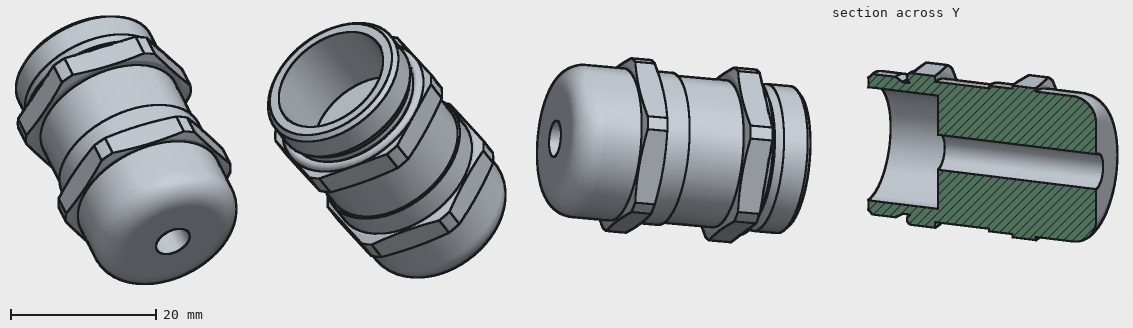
import cadquery as cq
import math

overall_length = 34.0
thread_end = 4.1
neck_start = 5.2
body_hex_start = 6.5
hex_length = 3.5
cap_start = 18.0
cap_hex_start = 21.5
bore_depth = 10.4

thread_diameter = 20.4
neck_diameter = 19.1
cap_diameter = 21.12
seal_thickness = 1.5
bore_diameter = 16.32
cable_hole_diameter = 5.0
entry_chamfer = 0.65
cap_edge_radius = 3.5

across_flats = 22.0
corner_diameter = 24.4
bevel_angle = 15.0
hexagon_turn = 30.0
bevel_length = (corner_diameter - across_flats) / 2 * math.tan(math.radians(bevel_angle))


def cylinder(start, end, diameter):
    """Solid cylinder on the X axis between two stations."""
    return cq.Workplane("YZ", origin=(start, 0, 0)).circle(diameter / 2).extrude(end - start)


def make_shank():
    """Threaded end, tapered neck and plain body, turned as one profile."""
    thread_radius = thread_diameter / 2
    neck_radius = neck_diameter / 2
    profile = (
        cq.Workplane("XY")
        .moveTo(0, 0)
        .lineTo(0, thread_radius - entry_chamfer)
        .lineTo(entry_chamfer, thread_radius)
        .lineTo(thread_end, thread_radius)
        .lineTo(neck_start, neck_radius)
        .lineTo(body_hex_start, neck_radius)
        .lineTo(body_hex_start, thread_radius)
        .lineTo(cap_start, thread_radius)
        .lineTo(cap_start, 0)
        .close()
    )
    return profile.revolve(360, (0, 0, 0), (1, 0, 0))


def make_seal_ring():
    """Round-section ring seated on the neck, half sunk into the front of the body hexagon."""
    tube_radius = seal_thickness / 2
    ring_radius = across_flats / 2 - tube_radius
    section = cq.Workplane("XY").center(body_hex_start, ring_radius).circle(tube_radius)
    return section.revolve(360, (0, -ring_radius, 0), (1, -ring_radius, 0))


def make_hexagon(start, bevel_front):
    """Hexagon with corners on the Y axis; its rear end, and optionally its front end, is bevelled."""
    end = start + hex_length
    hexagon = (
        cq.Workplane("YZ", origin=(start, 0, 0))
        .polygon(6, across_flats, circumscribed=True)
        .extrude(hex_length)
        .rotate((0, 0, 0), (1, 0, 0), hexagon_turn)
    )
    flat_radius = across_flats / 2
    corner_radius = corner_diameter / 2
    envelope = cq.Workplane("XY").moveTo(start, 0)
    if bevel_front:
        envelope = envelope.lineTo(start, flat_radius).lineTo(start + bevel_length, corner_radius)
    else:
        envelope = envelope.lineTo(start, corner_radius)
    envelope = (
        envelope.lineTo(end - bevel_length, corner_radius)
        .lineTo(end, flat_radius)
        .lineTo(end, 0)
        .close()
        .revolve(360, (0, 0, 0), (1, 0, 0))
    )
    return hexagon.intersect(envelope)


def make_cap():
    """Cap nut barrel with a rounded closed end."""
    cap = cylinder(cap_start, overall_length, cap_diameter)
    return cap.faces(">X").edges().fillet(cap_edge_radius)


def make_bores():
    """Wide bore from the threaded end and the cable hole through the cap."""
    bore = cylinder(0, bore_depth, bore_diameter)
    cable_hole = cylinder(0, overall_length, cable_hole_diameter)
    return bore.union(cable_hole)


result = (
    make_shank()
    .union(make_cap())
    .union(make_seal_ring())
    .union(make_hexagon(body_hex_start, bevel_front=False))
    .union(make_hexagon(cap_hex_start, bevel_front=True))
    .cut(make_bores())
)